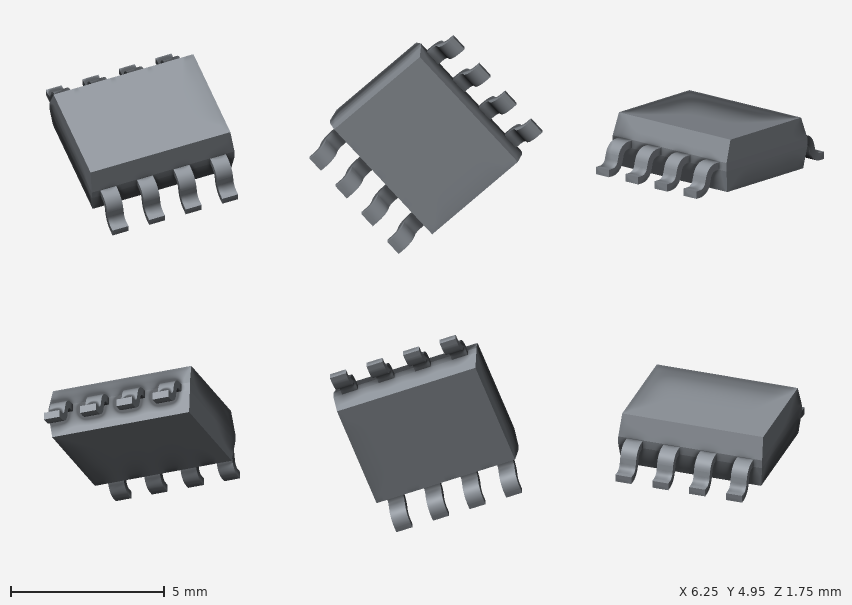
import cadquery as cq
import math

overall_length = 6.25
overall_height = 1.75

body_length = 3.96
body_width = 4.95
band_height = 0.29
top_inset_x = 0.25
top_inset_y = 0.05
bottom_inset_x = 0.12
bottom_inset_y = 0.075
half_height = (overall_height - band_height) / 2
band_bottom = half_height
band_top = band_bottom + band_height

lead_rows = 4
lead_pitch = 1.27
lead_width = 0.55
lead_thickness = 0.25
inner_radius = 0.25
outer_radius = inner_radius + lead_thickness
bend_angle = math.radians(75)
foot_flat = 0.19
lead_exit_top = (overall_height + lead_thickness) / 2

marker_diameter = 0.2
marker_depth = 0.05
marker_x = -1.26
marker_y = 1.91


def frustum(start_z, height, inset_x, inset_y):
    """Half of the housing, tapering away from the band by the given inset on each side."""
    return (
        cq.Workplane("XY")
        .workplane(offset=start_z)
        .rect(body_length, body_width)
        .workplane(offset=height)
        .rect(body_length - 2 * inset_x, body_width - 2 * inset_y)
        .loft(ruled=True)
    )


def make_marker():
    """Marker disc with its top level with the top of the housing."""
    return (
        cq.Workplane("XY")
        .workplane(offset=overall_height - marker_depth)
        .center(marker_x, marker_y)
        .circle(marker_diameter / 2)
        .extrude(marker_depth)
    )


def make_housing():
    """Housing with the recess that holds the marker."""
    band = (
        cq.Workplane("XY")
        .workplane(offset=band_bottom)
        .rect(body_length, body_width)
        .extrude(band_height)
    )
    upper_half = frustum(band_top, half_height, top_inset_x, top_inset_y)
    lower_half = frustum(band_bottom, -half_height, bottom_inset_x, bottom_inset_y)
    return band.union(upper_half).union(lower_half).cut(make_marker())


def on_circle(center, radius, angle):
    """Point on a circle, at an angle measured from +X."""
    return (center[0] + radius * math.cos(angle), center[1] + radius * math.sin(angle))


def make_lead(center_y):
    """Lead on the +X side, from the housing wall down to the foot."""
    wall_x = body_length / 2
    tip_x = overall_length / 2
    bend_radii = inner_radius + outer_radius
    drop = lead_exit_top - lead_thickness

    slope_length = (drop - bend_radii * (1 - math.cos(bend_angle))) / math.sin(bend_angle)
    bend_run = bend_radii * math.sin(bend_angle) + slope_length * math.cos(bend_angle)

    foot_start_x = tip_x - foot_flat
    shoulder_center = (foot_start_x - bend_run, lead_exit_top - outer_radius)
    foot_center = (foot_start_x, outer_radius)

    shoulder_start = math.radians(90)
    shoulder_middle = shoulder_start - bend_angle / 2
    shoulder_end = shoulder_start - bend_angle
    foot_end = math.radians(270)
    foot_middle = foot_end - bend_angle / 2
    foot_start = foot_end - bend_angle

    def shoulder(radius, angle):
        return on_circle(shoulder_center, radius, angle)

    def foot(radius, angle):
        return on_circle(foot_center, radius, angle)

    profile = (
        cq.Workplane("XZ", origin=(0, center_y + lead_width / 2, 0))
        .moveTo(wall_x, lead_exit_top)
        .lineTo(*shoulder(outer_radius, shoulder_start))
        .threePointArc(shoulder(outer_radius, shoulder_middle), shoulder(outer_radius, shoulder_end))
        .lineTo(*foot(inner_radius, foot_start))
        .threePointArc(foot(inner_radius, foot_middle), foot(inner_radius, foot_end))
        .lineTo(tip_x, lead_thickness)
        .lineTo(tip_x, 0)
        .lineTo(*foot(outer_radius, foot_end))
        .threePointArc(foot(outer_radius, foot_middle), foot(outer_radius, foot_start))
        .lineTo(*shoulder(inner_radius, shoulder_end))
        .threePointArc(shoulder(inner_radius, shoulder_middle), shoulder(inner_radius, shoulder_start))
        .lineTo(wall_x, lead_exit_top - lead_thickness)
        .close()
    )
    return profile.extrude(lead_width)


housing = make_housing()
marker = make_marker()

leads = []
for row in range(lead_rows):
    row_y = (row - (lead_rows - 1) / 2) * lead_pitch
    right_lead = make_lead(row_y)
    leads.append(right_lead.val())
    leads.append(right_lead.mirror("YZ").val())

result = cq.Compound.makeCompound([housing.val(), marker.val(), *leads])